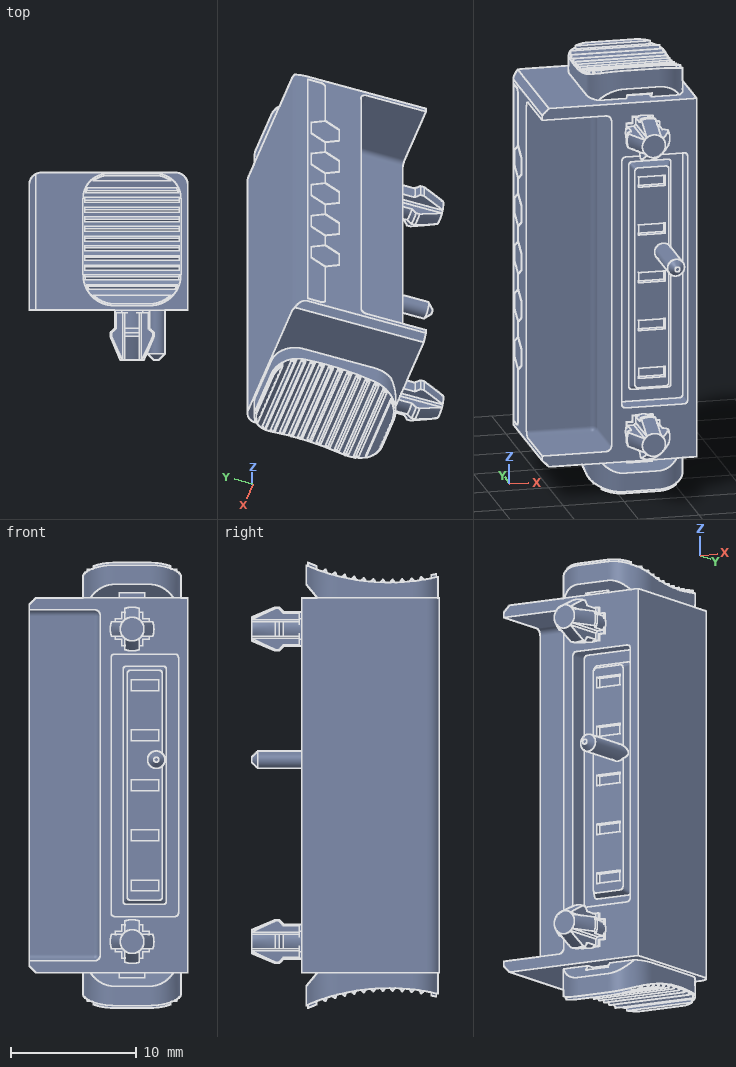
import cadquery as cq
import math

WIDTH, DEPTH, HEIGHT = 12.7, 11.02, 30.0
BACK_RADIUS = 1.0
SIDE_CHAMFER = 0.55

POCKET_WIDTH, POCKET_DEPTH, POCKET_HEIGHT = 5.7, 5.5, 28.1
POCKET_RADIUS = 0.5

RECESS_X = 9.25
RECESS_WIDTH, RECESS_DEPTH, RECESS_HEIGHT = 5.4, 1.7, 21.0
RECESS_CORNER = 0.3
BLOCK_WIDTH, BLOCK_HEIGHT = 3.46, 19.06
BLOCK_RISE = 0.7
BLOCK_CORNER = 0.3
BLOCK_INSET = 0.33

STATION_COUNT, STATION_PITCH = 5, 4.0
SLOT_WIDTH, SLOT_HEIGHT, SLOT_DEPTH = 2.2, 0.85, 0.5

PANEL_WIDTH, PANEL_HEIGHT, PANEL_CORNER = 2.5, 28.2, 0.4
HEXAGON_DIAMETER = 2.75
PANEL_RELIEF, HEXAGON_RELIEF = 0.02, 0.04

FRONT_LENGTH = 4.0
PIN_X, PIN_Z, PIN_DIAMETER, PIN_CHAMFER = 10.17, 2.05, 1.4, 0.5
PEG_X, PEG_Z = 8.24, 12.5
PEG_CORE_DIAMETER = 1.9
PEG_ARM_WIDTH = 1.17
PEG_SHANK_RADIUS, PEG_BARB_RADIUS = 1.4, 1.75
PEG_SHANK_LENGTH, BARB_START, BARB_END = 1.45, 1.8, 2.1
PEG_PAD_WIDTH, PEG_PAD_LENGTH, PEG_PAD_THICKNESS = 1.66, 2.7, 0.2

BUTTON_X, BUTTON_WIDTH = 8.23, 7.84
BUTTON_FRONT, BUTTON_BACK = 0.36, 10.92
BUTTON_FRONT_RADIUS, BUTTON_BACK_RADIUS = 2.5, 2.0
BUTTON_BLANK = 3.0
HOLLOW_RADIUS, HOLLOW_Y, HOLLOW_FLOOR = 16.5, 7.0, 1.22
UNDERCUT_DEPTH, UNDERCUT_HEIGHT = 0.88, 1.07
NOTCH_X, NOTCH_WIDTH, NOTCH_HEIGHT, NOTCH_BACK = 8.23, 2.06, 0.4, 2.0
RIDGE_COUNT, RIDGE_PITCH, FIRST_RIDGE_Y = 11, 0.775, 1.85
RIDGE_WIDTH, RIDGE_HEIGHT, RIDGE_INSET = 0.4, 0.25, 0.15
FRONT_LIP_END, BACK_LIP_START = 1.2, 10.35
RIDGE_ROOT = 0.1

station_heights = [(i - (STATION_COUNT - 1) / 2) * STATION_PITCH for i in range(STATION_COUNT)]


def box(x_range, y_range, z_range):
    sizes = [high - low for low, high in (x_range, y_range, z_range)]
    corner = (x_range[0], y_range[0], z_range[0])
    return cq.Workplane("XY").box(*sizes, centered=False).translate(corner)


def front_plane(x, y, z):
    """Workplane facing the front (-Y)."""
    return cq.Workplane(cq.Plane(origin=(x, y, z), xDir=(1, 0, 0), normal=(0, -1, 0)))


def side_plane(y, z):
    """Workplane on the left side, with local X along Y and the normal pointing into the housing."""
    return cq.Workplane(cq.Plane(origin=(0, y, z), xDir=(0, 1, 0), normal=(1, 0, 0)))


def make_housing():
    housing = box((0, WIDTH), (0, DEPTH), (-HEIGHT / 2, HEIGHT / 2))
    housing = housing.edges("|Y and <X").chamfer(SIDE_CHAMFER)
    return housing.edges("|Z and >Y").fillet(BACK_RADIUS)


def make_pocket():
    half = POCKET_HEIGHT / 2
    overrun = 2 * POCKET_RADIUS
    pocket = box((-overrun, POCKET_WIDTH), (-overrun, POCKET_DEPTH), (-half, half))
    return pocket.faces(">X or >Y").edges("not(<X or <Y)").fillet(POCKET_RADIUS)


def make_recess():
    recess = front_plane(RECESS_X, RECESS_DEPTH, 0).rect(RECESS_WIDTH, RECESS_HEIGHT).extrude(RECESS_DEPTH)
    return recess.edges("|Y").fillet(RECESS_CORNER)


def make_contact_block():
    taper = math.degrees(math.atan2(BLOCK_INSET, BLOCK_RISE))
    floor = front_plane(RECESS_X, RECESS_DEPTH, 0)
    block = floor.rect(BLOCK_WIDTH, BLOCK_HEIGHT).extrude(BLOCK_RISE, taper=taper)
    block = block.edges("not(|X or |Z)").fillet(BLOCK_CORNER)
    slot_centres = [(0, z) for z in station_heights]
    front = front_plane(RECESS_X, RECESS_DEPTH - BLOCK_RISE, 0)
    slots = front.pushPoints(slot_centres).rect(SLOT_WIDTH, SLOT_HEIGHT).extrude(-SLOT_DEPTH)
    return block.cut(slots)


def cut_inlay(body):
    edge_y = DEPTH - PANEL_WIDTH
    half = PANEL_HEIGHT / 2
    panel = box((0, PANEL_RELIEF), (edge_y, DEPTH - BACK_RADIUS), (-half, half))
    panel = panel.edges("|X and <Y").fillet(PANEL_CORNER)
    body = body.cut(panel)
    for z in station_heights:
        hexagon = side_plane(edge_y, z).transformed(rotate=(0, 0, 90)).polygon(6, HEXAGON_DIAMETER)
        body = body.cut(hexagon.extrude(HEXAGON_RELIEF))
    return body


def make_pin():
    root = front_plane(PIN_X, RECESS_DEPTH, PIN_Z)
    pin = root.circle(PIN_DIAMETER / 2).extrude(RECESS_DEPTH + FRONT_LENGTH)
    return pin.faces("<Y").chamfer(PIN_CHAMFER)


def make_cross(plane, width, length, thickness):
    return plane.rect(width, length).extrude(thickness).union(plane.rect(length, width).extrude(thickness))


def make_peg(z):
    """Cross-shaped snap peg with a round core, a barb and a small pad at its root."""
    root = front_plane(PEG_X, 0, z)
    core_radius = PEG_CORE_DIAMETER / 2
    cross = make_cross(root, PEG_ARM_WIDTH, 2 * PEG_BARB_RADIUS, FRONT_LENGTH)
    envelope = (
        cq.Workplane("XY")
        .moveTo(0, 0)
        .lineTo(PEG_SHANK_RADIUS, 0)
        .lineTo(PEG_SHANK_RADIUS, -PEG_SHANK_LENGTH)
        .lineTo(PEG_BARB_RADIUS, -BARB_START)
        .lineTo(PEG_BARB_RADIUS, -BARB_END)
        .lineTo(core_radius, -FRONT_LENGTH)
        .lineTo(0, -FRONT_LENGTH)
        .close()
        .revolve(360, (0, 0, 0), (0, 1, 0))
        .translate((PEG_X, 0, z))
    )
    core = root.circle(core_radius).extrude(FRONT_LENGTH)
    pad = make_cross(root, PEG_PAD_WIDTH, PEG_PAD_LENGTH, PEG_PAD_THICKNESS)
    return cross.intersect(envelope).union(core).union(pad)


def button_blank(inset):
    """Rounded button block on top of the housing, drawn in by the inset on every side."""
    half = BUTTON_WIDTH / 2 - inset
    top = HEIGHT / 2
    blank = box(
        (BUTTON_X - half, BUTTON_X + half),
        (BUTTON_FRONT + inset, BUTTON_BACK - inset),
        (top, top + BUTTON_BLANK),
    )
    blank = blank.edges("|Z and <Y").fillet(BUTTON_FRONT_RADIUS - inset)
    return blank.edges("|Z and >Y").fillet(BUTTON_BACK_RADIUS - inset)


def make_ridges(axis_z):
    """Triangular grip ridges pointing at the axis of the hollow."""
    ridges = cq.Workplane("YZ")
    root = HOLLOW_RADIUS + RIDGE_ROOT
    for i in range(RIDGE_COUNT):
        y = FIRST_RIDGE_Y + i * RIDGE_PITCH
        angle = math.degrees(math.asin((y - HOLLOW_Y) / HOLLOW_RADIUS))
        tooth = (
            cq.Workplane("YZ")
            .moveTo(-RIDGE_WIDTH / 2, -root)
            .lineTo(RIDGE_WIDTH / 2, -root)
            .lineTo(RIDGE_WIDTH / 2, -HOLLOW_RADIUS)
            .lineTo(0, RIDGE_HEIGHT - HOLLOW_RADIUS)
            .lineTo(-RIDGE_WIDTH / 2, -HOLLOW_RADIUS)
            .close()
            .extrude(WIDTH)
            .rotate((0, 0, 0), (1, 0, 0), angle)
            .translate((0, HOLLOW_Y, axis_z))
        )
        ridges = ridges.add(tooth)
    return ridges.combine()


def make_lips(axis_z):
    """Raised strips that follow the hollow at the front and back ends of the grip."""
    ring = (
        cq.Workplane("YZ")
        .center(HOLLOW_Y, axis_z)
        .circle(HOLLOW_RADIUS + RIDGE_ROOT)
        .circle(HOLLOW_RADIUS - RIDGE_HEIGHT)
        .extrude(WIDTH)
    )
    z_range = (HEIGHT / 2, axis_z)
    front_zone = box((0, WIDTH), (0, FRONT_LIP_END), z_range)
    back_zone = box((0, WIDTH), (BACK_LIP_START, DEPTH), z_range)
    return ring.intersect(front_zone.union(back_zone))


def make_button():
    top = HEIGHT / 2
    axis_z = top + HOLLOW_FLOOR + HOLLOW_RADIUS
    hollow = cq.Workplane("YZ").center(HOLLOW_Y, axis_z).circle(HOLLOW_RADIUS).extrude(WIDTH)
    undercut = (
        cq.Workplane("YZ")
        .moveTo(BUTTON_FRONT, top)
        .lineTo(BUTTON_FRONT + UNDERCUT_DEPTH, top)
        .lineTo(BUTTON_FRONT, top + UNDERCUT_HEIGHT)
        .close()
        .extrude(WIDTH)
    )
    notch = box(
        (NOTCH_X - NOTCH_WIDTH / 2, NOTCH_X + NOTCH_WIDTH / 2),
        (BUTTON_FRONT, NOTCH_BACK),
        (top, top + NOTCH_HEIGHT),
    )
    grip = make_ridges(axis_z).union(make_lips(axis_z)).intersect(button_blank(RIDGE_INSET))
    return button_blank(0).cut(hollow).cut(undercut).cut(notch).union(grip)


body = make_housing().cut(make_pocket()).cut(make_recess())
body = cut_inlay(body)
body = body.union(make_contact_block()).union(make_pin())
for peg_z in (-PEG_Z, PEG_Z):
    body = body.union(make_peg(peg_z))
upper_button = make_button()
result = body.union(upper_button).union(upper_button.mirror("XY"))